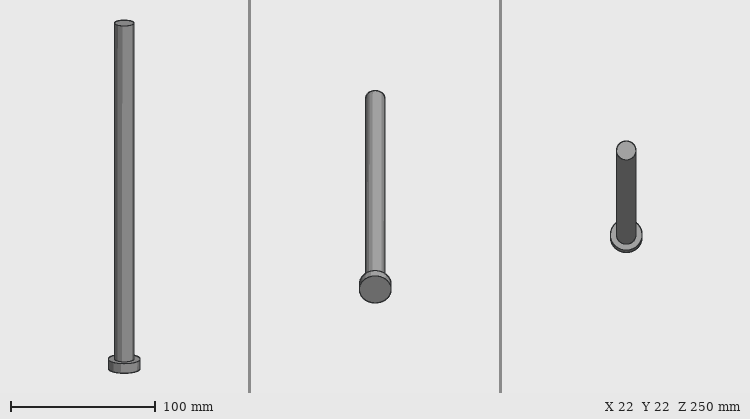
import cadquery as cq

total_length = 250.0
head_diameter = 22.0
head_height = 7.0
shank_diameter = 13.5

head = cq.Workplane("XY").circle(head_diameter / 2).extrude(head_height)
shank = cq.Workplane("XY").circle(shank_diameter / 2).extrude(total_length)

result = head.union(shank)